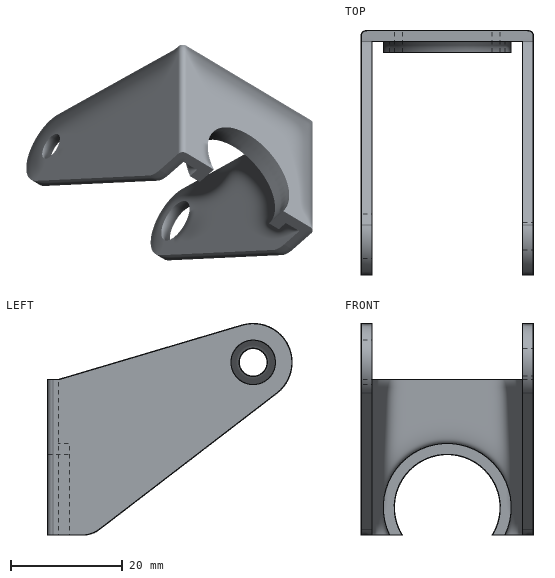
import math

import cadquery as cq

WIDTH = 31.0
THICKNESS = 2.0
BACK_HEIGHT = 28.0
BACK_EDGE_RADIUS = 1.0

PIVOT_Y = -37.0
PIVOT_Z = 31.08
PIVOT_RADIUS = 7.0
ARM_FOOT_LENGTH = 8.0
ARM_FOOT_RADIUS = 5.0
LEFT_PIVOT_HOLE_DIAMETER = 8.0
RIGHT_PIVOT_HOLE_DIAMETER = 5.0

SEAT_Z = 5.0
SEAT_HOLE_RADIUS = 9.5
SEAT_RING_RADIUS = 11.5
SEAT_RING_DEPTH = 2.0


def pivot_tangent_point(start_y, start_z, side):
    """Point where a line from the start touches the pivot end; side is +1 above, -1 below."""
    to_start_y = start_y - PIVOT_Y
    to_start_z = start_z - PIVOT_Z
    distance = math.hypot(to_start_y, to_start_z)
    angle = math.atan2(to_start_z, to_start_y) + side * math.acos(PIVOT_RADIUS / distance)
    return (
        PIVOT_Y + PIVOT_RADIUS * math.cos(angle),
        PIVOT_Z + PIVOT_RADIUS * math.sin(angle),
    )


def box_between(x_min, x_max, y_min, y_max, z_min, z_max):
    box = cq.Workplane("XY").box(x_max - x_min, y_max - y_min, z_max - z_min, centered=False)
    return box.translate((x_min, y_min, z_min))


def make_arm(x_start, hole_diameter):
    """Side arm of one sheet thickness, starting at x_start, with its pivot hole."""
    upper_tangent = pivot_tangent_point(-THICKNESS, BACK_HEIGHT, 1)
    lower_tangent = pivot_tangent_point(-ARM_FOOT_LENGTH, 0, -1)
    plane = cq.Workplane("YZ", origin=(x_start, 0, 0))
    arm = (
        plane.moveTo(0, 0)
        .lineTo(0, BACK_HEIGHT)
        .lineTo(-THICKNESS, BACK_HEIGHT)
        .lineTo(*upper_tangent)
        .threePointArc((PIVOT_Y - PIVOT_RADIUS, PIVOT_Z), lower_tangent)
        .lineTo(-ARM_FOOT_LENGTH, 0)
        .close()
        .extrude(THICKNESS)
    )
    foot_corner = cq.selectors.NearestToPointSelector(
        (x_start + THICKNESS / 2, -ARM_FOOT_LENGTH, 0)
    )
    arm = arm.edges("|X").edges(foot_corner).fillet(ARM_FOOT_RADIUS)
    hole = plane.center(PIVOT_Y, PIVOT_Z).circle(hole_diameter / 2).extrude(THICKNESS)
    return arm.cut(hole)


def make_seat_cylinder(radius, depth):
    """Cylinder on the seat axis, from the back face toward -Y."""
    return cq.Workplane("XZ").center(0, SEAT_Z).circle(radius).extrude(depth)


def make_bracket():
    half_width = WIDTH / 2
    seat_depth = THICKNESS + SEAT_RING_DEPTH
    back = box_between(-half_width, half_width, -THICKNESS, 0, 0, BACK_HEIGHT)
    above_bottom = box_between(-half_width, half_width, -seat_depth, 0, 0, BACK_HEIGHT)
    ring = make_seat_cylinder(SEAT_RING_RADIUS, seat_depth).intersect(above_bottom)

    bracket = (
        back.union(make_arm(-half_width, LEFT_PIVOT_HOLE_DIAMETER))
        .union(make_arm(half_width - THICKNESS, RIGHT_PIVOT_HOLE_DIAMETER))
    )
    bracket = bracket.edges("|Z and >Y").fillet(BACK_EDGE_RADIUS)
    return bracket.union(ring).cut(make_seat_cylinder(SEAT_HOLE_RADIUS, seat_depth))


result = make_bracket()